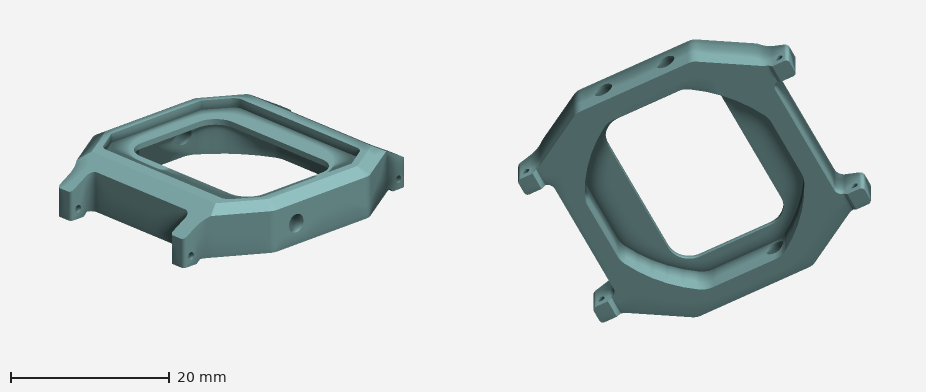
import cadquery as cq
import math

case_width = 33.2
case_length = 38.4
case_height = 7.2

flank_half_length = 8.2
flank_corner_radius = 2.0
end_wall_y = 15.63
body_bottom_z = 0.55

lug_outer_x = 11.65
lug_inner_x = 9.15
lug_root_y = 16.32
lug_tip_radius = 0.5
lug_inner_radius = 1.0
lug_outer_radius = 3.0
lug_foot_y = 16.97
pin_hole_diameter = 1.0
pin_hole_y = 17.95
pin_hole_z = 1.4

bevel_angle = 29.8
bevel_run = 1.7
top_half_length = 13.48

seat_half_width = 13.85
seat_half_length = 11.75
seat_flank_half_length = 7.75
seat_end_half_width = 11.35
seat_corner_radius = 1.5
seat_depth = 1.25
window_width = 22.5
window_length = 15.97
window_corner_radius = 3.0
ledge_thickness = 0.75
cavity_half_width = 13.65
cavity_half_length = 13.05
cavity_flank_half_length = 5.3
cavity_end_half_width = 4.85
cavity_arc_radius = 19.2
cavity_corner_radius = 3.0

button_hole_diameter = 2.5
button_hole_y = 4.4
button_hole_z = 3.45

half_width = case_width / 2
half_length = case_length / 2
seat_floor_z = case_height - seat_depth
cavity_top_z = seat_floor_z - ledge_thickness

slant_dx = half_width - lug_outer_x
slant_dy = lug_root_y - flank_half_length
slant_angle = math.atan2(slant_dx, slant_dy)


def octagon(half_x, flank_half, half_y, end_half):
    """Closed points of an octagon with long sides along X and Y."""
    return [
        (half_x, -flank_half),
        (half_x, flank_half),
        (end_half, half_y),
        (-end_half, half_y),
        (-half_x, flank_half),
        (-half_x, -flank_half),
        (-end_half, -half_y),
        (end_half, -half_y),
    ]


def fillet_uprights(solid, radius, x, y):
    """Round the four mirrored vertical edges that stand at (+-x, +-y)."""
    tolerance = 0.02

    def stands_at(edge):
        center = edge.Center()
        return abs(abs(center.x) - x) < tolerance and abs(abs(center.y) - y) < tolerance

    edges = [edge for edge in solid.edges("|Z").vals() if stands_at(edge)]
    return solid.newObject(edges).fillet(radius)


def outline_block():
    """Full-height block with the plan outline of body and lugs."""
    block = (
        cq.Workplane("XY")
        .polyline(octagon(half_width, flank_half_length, lug_root_y, lug_outer_x))
        .close()
        .extrude(case_height)
    )
    lug_span = cq.Workplane("XY").rect(2 * lug_outer_x, case_length).extrude(case_height)
    block = block.union(lug_span)
    gap_depth = half_length - end_wall_y
    for side in (1, -1):
        gap = (
            cq.Workplane("XY")
            .center(0, side * (end_wall_y + gap_depth / 2))
            .rect(2 * lug_inner_x, gap_depth)
            .extrude(case_height)
        )
        block = block.cut(gap)
    block = fillet_uprights(block, flank_corner_radius, half_width, flank_half_length)
    block = fillet_uprights(block, lug_outer_radius, lug_outer_x, lug_root_y)
    block = fillet_uprights(block, lug_inner_radius, lug_inner_x, end_wall_y)
    block = fillet_uprights(block, lug_tip_radius, lug_outer_x, half_length)
    return fillet_uprights(block, lug_tip_radius, lug_inner_x, half_length)


def frustum_section(spread, z):
    """Wire of the flat top octagon moved outward by spread, placed at height z."""
    half_x = half_width - bevel_run + spread
    half_y = top_half_length + spread
    flank_half = flank_half_length + (spread - bevel_run) * math.tan(slant_angle / 2)
    end_half = half_x - (half_y - flank_half) * math.tan(slant_angle)
    plate = (
        cq.Workplane("XY")
        .workplane(offset=z)
        .polyline(octagon(half_x, flank_half, half_y, end_half))
        .close()
        .extrude(case_height)
    )
    plate = fillet_uprights(plate, flank_corner_radius - bevel_run + spread, half_x, flank_half)
    return plate.faces("<Z").wires().val()


def bevel_frustum():
    """Flat-topped frustum whose sides fall away at the bevel angle."""
    foot_spread = case_height / math.tan(math.radians(bevel_angle))
    foot = frustum_section(foot_spread, 0)
    top = frustum_section(0, case_height)
    return cq.Workplane(cq.Solid.makeLoft([foot, top], True))


def underside_relief():
    """Prism that lifts the body underside above the lug feet, with 45 degree ends."""
    step_y = lug_foot_y - body_bottom_z
    return (
        cq.Workplane("YZ")
        .polyline([(-lug_foot_y, 0), (-step_y, body_bottom_z), (step_y, body_bottom_z), (lug_foot_y, 0)])
        .close()
        .extrude(half_width, both=True)
    )


def glass_seat():
    """Octagonal recess for the glass, rounded at its end corners."""
    seat = (
        cq.Workplane("XY")
        .workplane(offset=seat_floor_z)
        .polyline(octagon(seat_half_width, seat_flank_half_length, seat_half_length, seat_end_half_width))
        .close()
        .extrude(seat_depth)
    )
    return fillet_uprights(seat, seat_corner_radius, seat_end_half_width, seat_half_length)


def window():
    """Rounded rectangular opening through the ledge."""
    return (
        cq.Workplane("XY")
        .rect(window_width, window_length)
        .extrude(case_height)
        .edges("|Z")
        .fillet(window_corner_radius)
    )


def movement_cavity():
    """Cavity open at the bottom, with bowed corners between its flat sides."""
    x, y = cavity_half_width, cavity_half_length
    flank, end = cavity_flank_half_length, cavity_end_half_width
    chord = math.hypot(x - end, y - flank)
    bow = cavity_arc_radius - math.sqrt(cavity_arc_radius**2 - (chord / 2) ** 2)
    cavity = (
        cq.Workplane("XY")
        .moveTo(x, -flank)
        .lineTo(x, flank)
        .sagittaArc((end, y), -bow)
        .lineTo(-end, y)
        .sagittaArc((-x, flank), -bow)
        .lineTo(-x, -flank)
        .sagittaArc((-end, -y), -bow)
        .lineTo(end, -y)
        .sagittaArc((x, -flank), -bow)
        .close()
        .extrude(cavity_top_z)
    )
    return cavity.edges("|Z").fillet(cavity_corner_radius)


def pin_holes():
    """Strap pin holes running along X through each pair of lugs."""
    return (
        cq.Workplane("YZ")
        .pushPoints([(-pin_hole_y, pin_hole_z), (pin_hole_y, pin_hole_z)])
        .circle(pin_hole_diameter / 2)
        .extrude(half_width, both=True)
    )


def button_holes():
    """One hole through both flanks and one through the -X flank only."""
    through = (
        cq.Workplane("YZ")
        .center(-button_hole_y, button_hole_z)
        .circle(button_hole_diameter / 2)
        .extrude(half_width, both=True)
    )
    one_sided = (
        cq.Workplane("YZ")
        .center(button_hole_y, button_hole_z)
        .circle(button_hole_diameter / 2)
        .extrude(-half_width)
    )
    return through.union(one_sided)


result = (
    outline_block()
    .intersect(bevel_frustum())
    .cut(underside_relief())
    .cut(glass_seat())
    .cut(window())
    .cut(movement_cavity())
    .cut(pin_holes())
    .cut(button_holes())
)